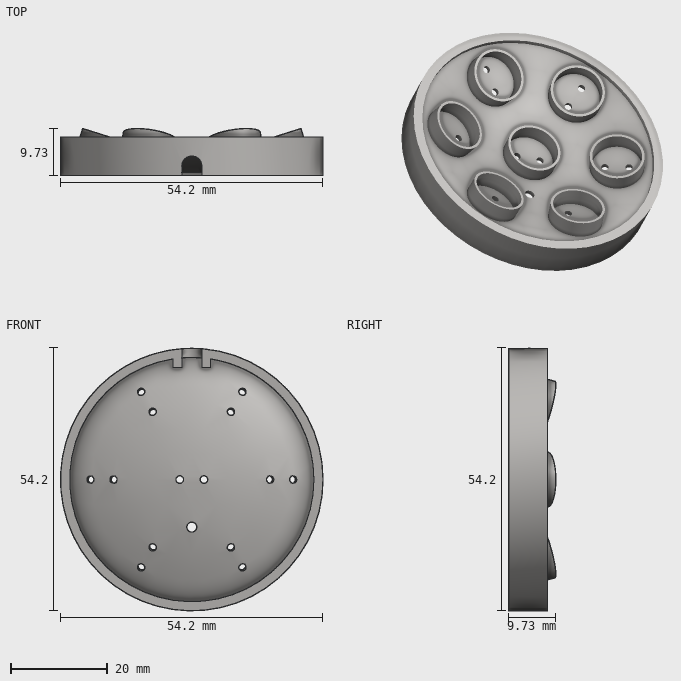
import cadquery as cq
import math

OUTER_DIAMETER = 54.2
INNER_DIAMETER = 50.4
RIM_DEPTH = 8.0

DOME_RADIUS = 61.75
DOME_APEX = 0.6
FLOOR_THICKNESS = 1.05

CUP_DIAMETER = 11.3
CUP_BORE = 10.3
CUP_DEPTH = 4.8
CUP_TILT = 17.5
CUP_COUNT = 6
PIN_HOLE_DIAMETER = 1.5
PIN_HOLE_PITCH = 5.0

CABLE_HOLE_DIAMETER = 2.0
CABLE_HOLE_DROP = 9.8

NOTCH_WIDTH = 4.1
NOTCH_DEPTH = 4.05
TAB_WIDTH = 1.85
TAB_BOTTOM = 23.1
TAB_DEPTH = NOTCH_DEPTH - NOTCH_WIDTH / 2

DOME_CENTRE = (0, DOME_APEX + DOME_RADIUS, 0)
FLOOR_BACK_RADIUS = DOME_RADIUS - FLOOR_THICKNESS
CUP_FACE_RADIUS = DOME_RADIUS - CUP_DEPTH


def disc(diameter, depth):
    """Cylinder along +Y starting at the front plane."""
    return cq.Workplane("XZ").circle(diameter / 2).extrude(-depth)


def dome_ball(radius):
    """Ball about the common centre of the domed surfaces."""
    return cq.Workplane("XY").sphere(radius).translate(DOME_CENTRE)


def cup_plane(tilt, angle):
    """Plane at the dome centre whose normal points along a cup axis toward the floor."""
    sideways = math.sin(math.radians(tilt))
    turn = math.radians(angle)
    radial = (math.cos(turn), 0, math.sin(turn))
    normal = (sideways * radial[0], -math.cos(math.radians(tilt)), sideways * radial[2])
    tangent = cq.Vector(-math.sin(turn), 0, math.cos(turn))
    pin_direction = tangent.cross(cq.Vector(*normal))
    return cq.Plane(origin=DOME_CENTRE, xDir=pin_direction, normal=normal)


def cup_cylinder(plane, diameter, end_radius):
    """Cylinder along a cup axis, from the open cup face out to end_radius."""
    length = end_radius - CUP_FACE_RADIUS
    return cq.Workplane(plane).workplane(offset=CUP_FACE_RADIUS).circle(diameter / 2).extrude(length)


def pin_holes(plane):
    """Pair of holes through the floor of a cup."""
    return (
        cq.Workplane(plane)
        .workplane(offset=CUP_FACE_RADIUS)
        .pushPoints([(-PIN_HOLE_PITCH / 2, 0), (PIN_HOLE_PITCH / 2, 0)])
        .circle(PIN_HOLE_DIAMETER / 2)
        .extrude(2 * CUP_DEPTH)
    )


def guide_tab(side):
    """Block hanging from the rim beside the notch; side is -1 or 1."""
    height = OUTER_DIAMETER / 2 - TAB_BOTTOM
    x_centre = side * (NOTCH_WIDTH + TAB_WIDTH) / 2
    block = cq.Workplane("XY").box(TAB_WIDTH, TAB_DEPTH, height, centered=(True, False, False))
    return block.translate((x_centre, 0, TAB_BOTTOM)).intersect(disc(OUTER_DIAMETER, TAB_DEPTH))


def notch():
    """Round-ended slot, open at the front, cut down through the top of the rim."""
    half = NOTCH_WIDTH / 2
    arch_start = NOTCH_DEPTH - half
    return (
        cq.Workplane("XY", origin=(0, 0, TAB_BOTTOM))
        .moveTo(-half, 0)
        .lineTo(-half, arch_start)
        .threePointArc((0, NOTCH_DEPTH), (half, arch_start))
        .lineTo(half, 0)
        .close()
        .extrude(OUTER_DIAMETER / 2 - TAB_BOTTOM)
    )


rim = disc(OUTER_DIAMETER, RIM_DEPTH).cut(disc(INNER_DIAMETER, RIM_DEPTH))
floor_disc = disc((INNER_DIAMETER + OUTER_DIAMETER) / 2, RIM_DEPTH)
floor = floor_disc.intersect(dome_ball(DOME_RADIUS)).cut(dome_ball(FLOOR_BACK_RADIUS))

cup_planes = [cup_plane(0, 0)]
for index in range(CUP_COUNT):
    cup_planes.append(cup_plane(CUP_TILT, index * 360 / CUP_COUNT))

body = rim.union(floor)
for plane in cup_planes:
    cup = cup_cylinder(plane, CUP_DIAMETER, DOME_RADIUS).intersect(dome_ball(DOME_RADIUS - FLOOR_THICKNESS / 2))
    body = body.union(cup)

for plane in cup_planes:
    bore = cup_cylinder(plane, CUP_BORE, DOME_RADIUS).intersect(dome_ball(FLOOR_BACK_RADIUS))
    body = body.cut(bore).cut(pin_holes(plane))

cable_hole = disc(CABLE_HOLE_DIAMETER, RIM_DEPTH).translate((0, 0, -CABLE_HOLE_DROP))

for side in (-1, 1):
    body = body.union(guide_tab(side))

result = body.cut(cable_hole).cut(notch())